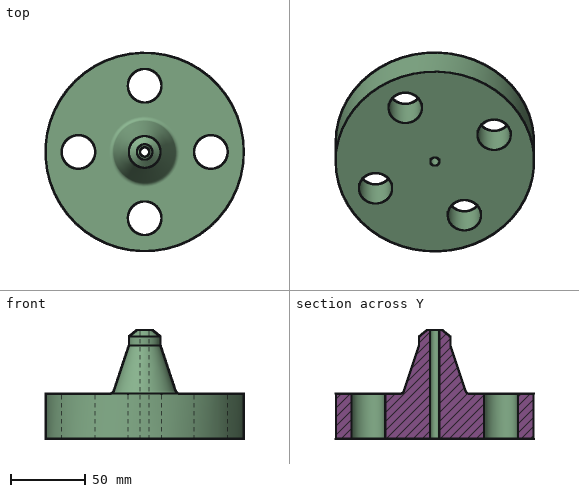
import cadquery as cq

flange_diameter = 133.3
flange_thickness = 30.4
overall_height = 73.2

bolt_count = 4
bolt_circle_diameter = 88.9
bolt_hole_diameter = 22.4

hub_base_radius = 21.5
neck_radius = 10.7
neck_length = 6.0
tip_radius = 5.2
bevel_height = 4.4
hub_fillet_radius = 2.9
bore_diameter = 6.1

neck_top = overall_height - bevel_height
neck_bottom = neck_top - neck_length


def make_body():
    """Revolve the half section of the disc, hub, neck and bevelled tip about Z."""
    flange_radius = flange_diameter / 2
    section = (
        cq.Workplane("XZ")
        .moveTo(0, 0)
        .lineTo(flange_radius, 0)
        .lineTo(flange_radius, flange_thickness)
        .lineTo(hub_base_radius, flange_thickness)
        .lineTo(neck_radius, neck_bottom)
        .lineTo(neck_radius, neck_top)
        .lineTo(tip_radius, overall_height)
        .lineTo(0, overall_height)
        .close()
    )
    return section.revolve(360, (0, 0, 0), (0, 1, 0))


def fillet_hub_base(body):
    """Round the inner corner where the hub meets the disc's upper face."""
    second_widest = -2
    hub_corner = cq.selectors.RadiusNthSelector(second_widest)
    return body.edges(hub_corner).fillet(hub_fillet_radius)


def cut_bore(body):
    """Drill the central bore right through."""
    return body.faces(">Z").workplane(origin=(0, 0, 0)).hole(bore_diameter)


def cut_bolt_holes(body):
    """Drill the ring of bolt holes through the disc, starting on the X axis."""
    holes = (
        cq.Workplane("XY")
        .polarArray(bolt_circle_diameter / 2, 0, 360, bolt_count)
        .circle(bolt_hole_diameter / 2)
        .extrude(flange_thickness)
    )
    return body.cut(holes)


result = cut_bolt_holes(cut_bore(fillet_hub_base(make_body())))